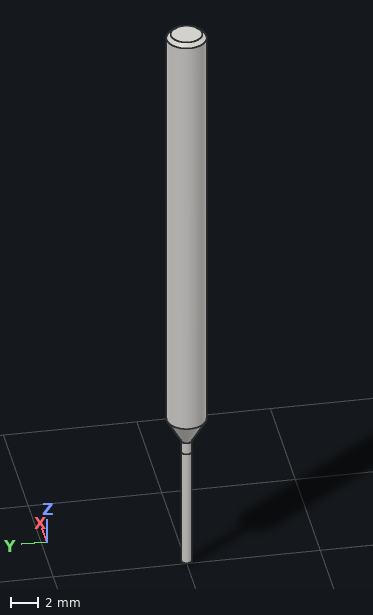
import cadquery as cq
import math

total_length = 46.0
shank_diameter = 3.0
drill_diameter = 0.8
point_angle = 118.0
drill_length = 9.7
neck_length = 0.95
taper_length = 1.95
end_chamfer = 0.3

shank_radius = shank_diameter / 2
drill_radius = drill_diameter / 2
point_height = drill_radius / math.tan(math.radians(point_angle / 2))
taper_bottom = drill_length + neck_length
taper_top = taper_bottom + taper_length


def revolve_about_z(outline):
    """Revolve a closed (radius, height) outline a full turn about Z."""
    return cq.Workplane("XZ").polyline(outline).close().revolve(360, (0, 0), (0, 1))


def make_drill():
    """Cylindrical cutting length ending in a conical point."""
    return revolve_about_z([
        (0, 0),
        (drill_radius, point_height),
        (drill_radius, drill_length),
        (0, drill_length),
    ])


def make_shank():
    """Neck, tapered shoulder and plain shank with a chamfered end."""
    return revolve_about_z([
        (0, drill_length),
        (drill_radius, drill_length),
        (drill_radius, taper_bottom),
        (shank_radius, taper_top),
        (shank_radius, total_length - end_chamfer),
        (shank_radius - end_chamfer, total_length),
        (0, total_length),
    ])


drill = make_drill()
shank = make_shank()

result = cq.Compound.makeCompound([drill.val(), shank.val()])